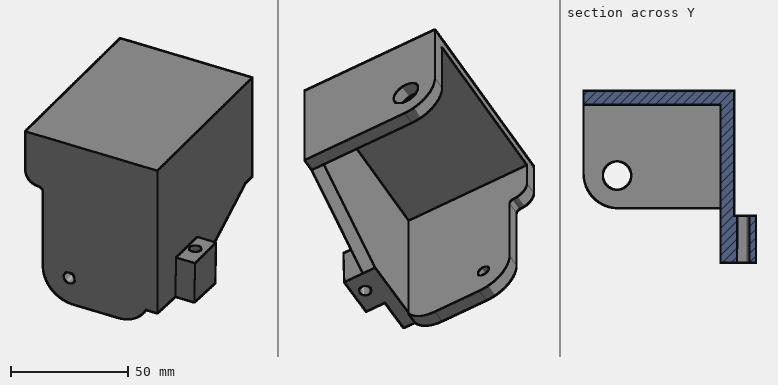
import cadquery as cq
import math

length = 64.3
width = 83.85
wall = 6.0

front_depth = 80.5
front_left = 8.55
front_right = 60.3
corner_radius = 14.9
notch_top = 19.4
notch_fillet = 2.0
notch_radius = front_left - notch_fillet
pin_hole_diameter = 5.4
pin_hole_x = 21.5
pin_hole_z = -67.6

back_depth = 50.15
pivot_hole_diameter = 12.0
pivot_hole_x = 14.3
pivot_hole_z = -36.1

tilt = 1.9
knee_y = 34.5
knee_z = -73.45
lug_reach = 9.2
lug_length = 18.6
lug_top_z = -53.25
lug_hole_diameter = 5.1
lug_hole_offset = 3.8
lug_hole_from_back = 8.55


def front_plane_at(y):
    """XZ plane whose extrusions run towards +Y, starting at the given y."""
    return cq.Workplane(cq.Plane(origin=(0, y, 0), xDir=(1, 0, 0), normal=(0, -1, 0)))


def round_hole(y, x, z, diameter):
    return front_plane_at(y).center(x, z).circle(diameter / 2).extrude(-wall)


def front_plate():
    diagonal = math.sqrt(0.5)
    step_z = -notch_top - notch_radius
    plate = (
        front_plane_at(0)
        .moveTo(0, 0)
        .lineTo(0, -notch_top)
        .threePointArc(
            (notch_radius * (1 - diagonal), -notch_top - notch_radius * diagonal),
            (notch_radius, step_z),
        )
        .threePointArc(
            (notch_radius + notch_fillet * diagonal, step_z - notch_fillet * (1 - diagonal)),
            (front_left, step_z - notch_fillet),
        )
        .lineTo(front_left, -front_depth)
        .lineTo(front_right, -front_depth)
        .lineTo(front_right, 0)
        .close()
        .extrude(-wall)
        .edges("|Y and <Z")
        .fillet(corner_radius)
    )
    return plate.cut(round_hole(0, pin_hole_x, pin_hole_z, pin_hole_diameter))


def back_plate():
    plate = (
        cq.Workplane("XY")
        .box(length, wall, back_depth, centered=False)
        .translate((0, width - wall, -back_depth))
        .edges("|Y and <Z and <X")
        .fillet(corner_radius)
    )
    return plate.cut(round_hole(width - wall, pivot_hole_x, pivot_hole_z, pivot_hole_diameter))


def end_wall():
    front_z = knee_z + knee_y * math.tan(math.radians(tilt))
    return (
        cq.Workplane("YZ", origin=(length - wall, 0, 0))
        .polyline(
            [
                (0, 0),
                (0, front_z),
                (knee_y, knee_z),
                (width - wall, -back_depth),
                (width, -back_depth),
                (width, 0),
            ]
        )
        .close()
        .extrude(wall)
    )


def lug():
    block_height = wall - knee_z
    block = cq.Workplane("XY").box(lug_reach, lug_length, block_height, centered=False)
    hole = (
        cq.Workplane("XY")
        .center(lug_hole_offset, lug_length - lug_hole_from_back)
        .circle(lug_hole_diameter / 2)
        .extrude(block_height)
    )
    tilted_block = (
        block.cut(hole)
        .translate((0, -lug_length, 0))
        .rotate((0, 0, 0), (1, 0, 0), -tilt)
        .translate((length, knee_y, knee_z))
    )
    below_top = (
        cq.Workplane("XY")
        .box(lug_reach, width, front_depth + lug_top_z, centered=False)
        .translate((length, 0, -front_depth))
    )
    return tilted_block.intersect(below_top)


roof = cq.Workplane("XY").box(length, width, wall, centered=False).translate((0, 0, -wall))
result = roof.union(front_plate()).union(back_plate()).union(end_wall()).union(lug())